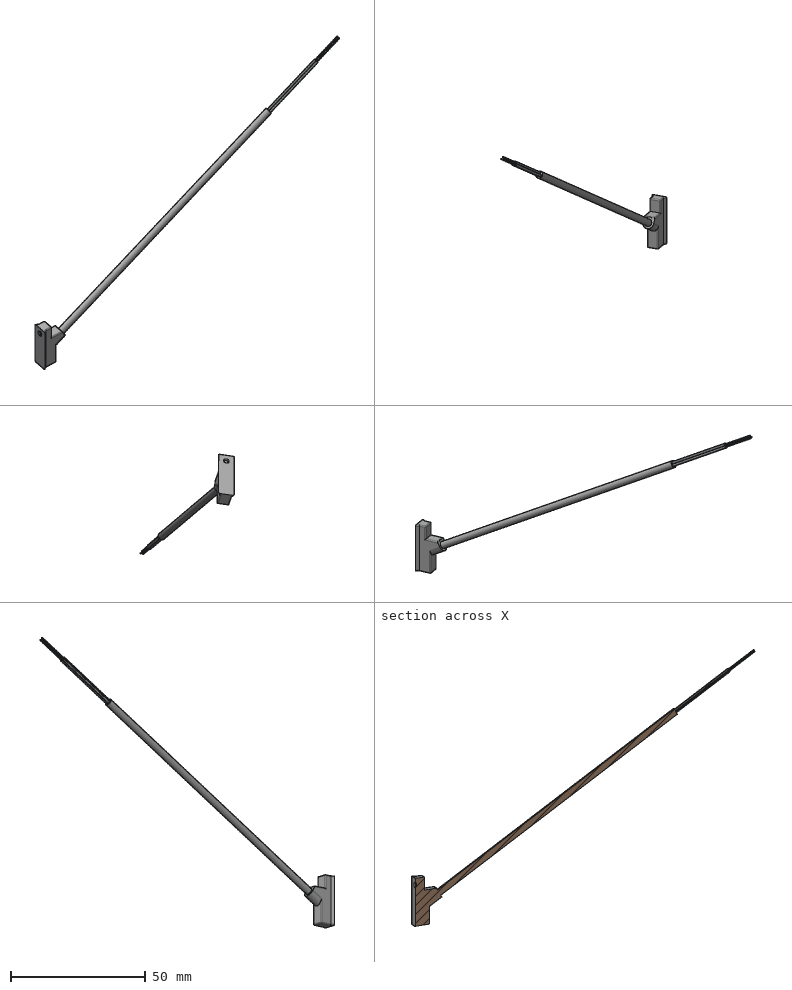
import cadquery as cq
import math

overall_length = 140.6
overall_height = 87.9

face_width = 6.0
body_width = 4.5
housing_height = 19.1
lower_depth = 6.0
upper_depth = 4.0
ledge_height = 13.9
flare_depth = 1.3
face_corner_radius = 0.5
body_edge_radius = 0.4
window_diameter = 2.1
window_floor_diameter = 1.3
window_depth = 0.4
window_height = 16.3

cable_angle = 30.0
jacket_diameter = 2.8
wire_diameter = 1.0
core_diameter = 0.4
bare_core_length = 12.1
exposed_wire_length = 37.7
sleeve_reach = 11.5

cosine = math.cos(math.radians(cable_angle))
sine = math.sin(math.radians(cable_angle))

wire_circle_radius = wire_diameter / math.sqrt(3)
lower_wire_drop = wire_circle_radius / 2
wire_places = [
    (0, wire_circle_radius),
    (-wire_diameter / 2, -lower_wire_drop),
    (wire_diameter / 2, -lower_wire_drop),
]

core_radius = core_diameter / 2
tip_y = overall_length - (lower_wire_drop + core_radius) * sine
tip_z = overall_height - (wire_circle_radius + core_radius) * cosine
cable_length = tip_y / cosine
axis_start_z = tip_z - cable_length * sine


def cable_section(distance):
    """Work plane across the cable, at a distance along its axis from the front face."""
    origin = (0, distance * cosine, axis_start_z + distance * sine)
    plane = cq.Plane(origin=origin, xDir=(-1, 0, 0), normal=(0, cosine, sine))
    return cq.Workplane(plane)


def make_housing():
    """Flat-sided housing whose ledge carries the upper half of the cable sleeve."""
    sleeve_end_y = sleeve_reach * cosine
    sleeve_end_z = axis_start_z + sleeve_reach * sine
    ledge_end_y = sleeve_end_y - (ledge_height - sleeve_end_z) * sine / cosine
    back_axis_z = axis_start_z + lower_depth * sine / cosine
    outline = [
        (0, 0),
        (lower_depth, 0),
        (lower_depth, back_axis_z),
        (sleeve_end_y, sleeve_end_z),
        (ledge_end_y, ledge_height),
        (upper_depth, ledge_height),
        (upper_depth, housing_height),
        (0, housing_height),
    ]
    body = cq.Workplane("YZ").polyline(outline).close().extrude(body_width / 2, both=True)
    side_edges = body.faces("<X or >X").edges("|Y or |Z")
    back_corners = [(lower_depth, 0), (ledge_end_y, ledge_height), (upper_depth, housing_height)]
    rounded_edges = side_edges
    for y, z in back_corners:
        rounded_edges = rounded_edges.add(body.edges(cq.NearestToPointSelector((0, y, z))))
    return rounded_edges.fillet(body_edge_radius)


def make_flared_face():
    """Front of the housing, widening toward a face with rounded corners."""
    front = cq.Sketch().rect(face_width, housing_height).vertices().fillet(face_corner_radius)
    back = cq.Sketch().rect(body_width, housing_height).vertices().fillet(body_edge_radius)
    back_place = cq.Location(cq.Vector(0, 0, -flare_depth))
    return (
        cq.Workplane("XZ")
        .center(0, housing_height / 2)
        .placeSketch(front, back.moved(back_place))
        .loft()
    )


def make_sleeve():
    """Round sleeve around the cable, starting inside the housing."""
    sleeve_start = lower_depth / 2
    return cable_section(sleeve_start).circle(body_width / 2).extrude(sleeve_reach - sleeve_start)


def make_cable():
    """Jacket, insulated wires and bare cores, each ending further along the axis."""
    jacket_end = cable_length - exposed_wire_length
    insulation_end = cable_length - bare_core_length
    cable = cable_section(sleeve_reach).circle(jacket_diameter / 2).extrude(jacket_end - sleeve_reach)
    for place in wire_places:
        wire = cable_section(jacket_end).center(*place).circle(wire_diameter / 2)
        core = cable_section(insulation_end).center(*place).circle(core_diameter / 2)
        cable = cable.union(wire.extrude(insulation_end - jacket_end))
        cable = cable.union(core.extrude(bare_core_length))
    return cable


def make_window():
    """Round recess in the front face, narrowing toward its flat floor."""
    rim_radius = window_diameter / 2
    floor_radius = window_floor_diameter / 2
    window_center = cq.Vector(0, 0, window_height)
    inward = cq.Vector(0, 1, 0)
    return cq.Workplane(cq.Solid.makeCone(rim_radius, floor_radius, window_depth, window_center, inward))


result = make_housing().union(make_flared_face()).union(make_sleeve()).union(make_cable()).cut(make_window())